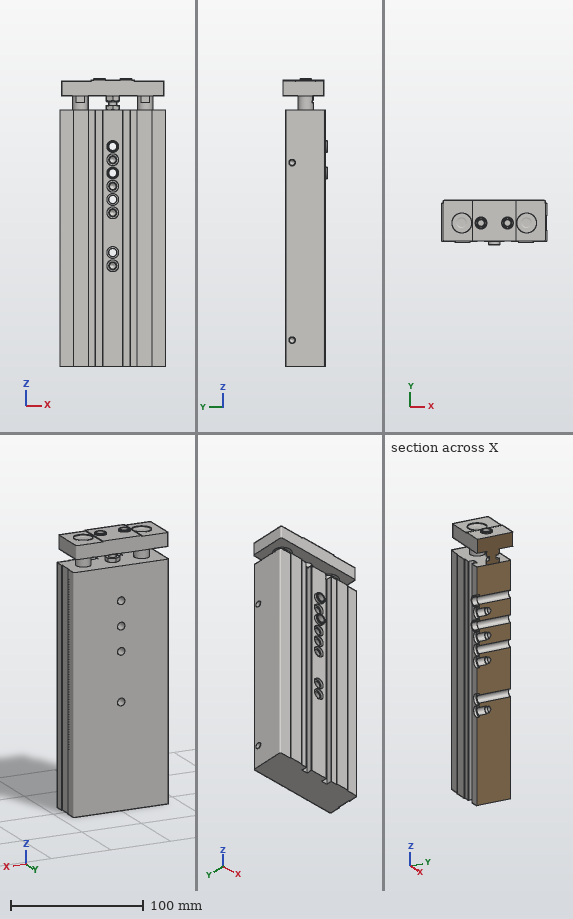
import cadquery as cq
import math


HOUSING_WIDTH = 80.0
HOUSING_FRONT = -14.2
HOUSING_REAR = 15.2
HOUSING_HEIGHT = 194.0
HOUSING_CORNER_RADIUS = 1.0

PAD_OFFSET = 24.0
PAD_WIDTH = 11.3
PAD_PROUD = 0.7

SLOT_INNER = 7.6
SLOT_OUTER = 12.9
SLOT_DEPTH = 4.8
SLOT_CHAMFER = 0.5

CHANNEL_WIDTH = 11.3
CHANNEL_DEPTH = 0.7

HOLE_PITCH = 10.0
TOP_HOLE_Z = 166.5
THROUGH_STEPS = (0, 2, 4, 8)
BLIND_STEPS = (1, 3, 5, 9)
SLEEVED_STEPS = (0, 2)
THROUGH_DIAMETER = 6.0
THREAD_DIAMETER = 6.0
THREAD_DEPTH = 6.5
TAP_DRILL_DIAMETER = 5.0
TAP_DRILL_DEPTH = 8.7
DRILL_HALF_ANGLE = 59.0

PORT_THREAD_DIAMETER = 5.0
PORT_THREAD_DEPTH = 3.3
PORT_DRILL_DIAMETER = 4.1
PORT_DRILL_DEPTH = 5.5
PORT_Y = 10.2
PORT_HEIGHTS = (20.0, 154.2)

SLEEVE_DIAMETER = 9.0
SLEEVE_BORE = 6.3
SLEEVE_LENGTH = 4.5
SLEEVE_CHAMFER = 0.5
FRONT_SEAT_DEPTH = 2.2
PLATE_SLEEVE_PROUD = 1.3

PLATE_WIDTH = 77.3
PLATE_FRONT = -13.7
PLATE_REAR = 17.2
PLATE_BOTTOM = 204.7
PLATE_TOP = 215.8
PLATE_CORNER_RADIUS = 1.0
STRIP_WIDTH = 32.7
STRIP_TOP = 216.5
PLATE_HOLE_OFFSET = 10.0
PLATE_HOLE_DIAMETER = 5.0

ROD_SPACING = 49.0
ROD_DIAMETER = 12.0
ROD_HEAD_DIAMETER = 15.0
ROD_HEAD_SUNK = 0.7
FLAT_CUT = 0.9
FLAT_HEIGHT = 5.2
CENTRE_MOUTH_DIAMETER = 8.0
CENTRE_DIAMETER = 6.3
CENTRE_DEPTH = 0.2

STOP_DIAMETER = 6.0
NUT_FLATS = 10.0
NUT_SEAT_DIAMETER = 10.5
NUT_FREE_END_DIAMETER = 9.0
STOP_NUT_HEIGHT = 4.5
STOP_HEAD_HEIGHT = 3.3

PLATE_SEAT_DEPTH = SLEEVE_LENGTH - PLATE_SLEEVE_PROUD
ROD_OFFSET = ROD_SPACING / 2
HOUSING_MID_Y = (HOUSING_FRONT + HOUSING_REAR) / 2
PLATE_MID_Y = (PLATE_FRONT + PLATE_REAR) / 2
ROD_GAP = PLATE_BOTTOM - HOUSING_HEIGHT
OUTWARD = cq.Vector(0, -1, 0)


def hole_z(step):
    return TOP_HOLE_Z - step * HOLE_PITCH


def tapped_hole(origin, direction, thread_diameter, thread_depth, drill_diameter, drill_depth):
    """Blind tapped hole: a thread bore, then a narrower drilled bore with a conical tip."""
    drill_radius = drill_diameter / 2
    tip = drill_radius / math.tan(math.radians(DRILL_HALF_ANGLE))
    thread = cq.Solid.makeCylinder(thread_diameter / 2, thread_depth, origin, direction)
    bore = cq.Solid.makeCylinder(drill_radius, drill_depth, origin, direction)
    cone = cq.Solid.makeCone(drill_radius, 0, tip, origin + direction * drill_depth, direction)
    return thread.fuse(bore, cone)


def slot_outline(side):
    """Sensor slot profile, bevelled along both edges of its mouth."""
    floor_y = HOUSING_FRONT + SLOT_DEPTH
    points = [
        (SLOT_OUTER + SLOT_CHAMFER, HOUSING_FRONT),
        (SLOT_OUTER, HOUSING_FRONT + SLOT_CHAMFER),
        (SLOT_OUTER, floor_y),
        (SLOT_INNER, floor_y),
        (SLOT_INNER, HOUSING_FRONT + SLOT_CHAMFER),
        (SLOT_INNER - SLOT_CHAMFER, HOUSING_FRONT),
    ]
    return [(side * x, y) for x, y in points]


def make_profile():
    depth = HOUSING_REAR - HOUSING_FRONT
    body = (
        cq.Workplane("XY")
        .center(0, HOUSING_MID_Y)
        .rect(HOUSING_WIDTH, depth)
        .extrude(HOUSING_HEIGHT)
        .edges("|Z")
        .fillet(HOUSING_CORNER_RADIUS)
    )
    for side in (-1, 1):
        pad = (
            cq.Workplane("XY")
            .center(side * PAD_OFFSET, HOUSING_FRONT)
            .rect(PAD_WIDTH, 2 * PAD_PROUD)
            .extrude(HOUSING_HEIGHT)
        )
        slot = cq.Workplane("XY").polyline(slot_outline(side)).close().extrude(HOUSING_HEIGHT)
        body = body.union(pad).cut(slot)
    channel = (
        cq.Workplane("XY")
        .center(HOUSING_WIDTH / 2, 0)
        .rect(2 * CHANNEL_DEPTH, CHANNEL_WIDTH)
        .extrude(HOUSING_HEIGHT)
    )
    return body.cut(channel)


def cut_mounting_holes(body):
    inward = OUTWARD * -1
    for step in THROUGH_STEPS + BLIND_STEPS:
        mouth = cq.Vector(0, HOUSING_FRONT, hole_z(step))
        seat_floor = mouth + inward * FRONT_SEAT_DEPTH
        body = body.cut(cq.Solid.makeCylinder(SLEEVE_DIAMETER / 2, FRONT_SEAT_DEPTH, mouth, inward))
        if step in THROUGH_STEPS:
            through = HOUSING_REAR - HOUSING_FRONT
            body = body.cut(cq.Solid.makeCylinder(THROUGH_DIAMETER / 2, through, mouth, inward))
        else:
            hole = tapped_hole(
                seat_floor, inward, THREAD_DIAMETER, THREAD_DEPTH, TAP_DRILL_DIAMETER, TAP_DRILL_DEPTH
            )
            body = body.cut(hole)
    return body


def cut_ports(body):
    inward = cq.Vector(1, 0, 0)
    for height in PORT_HEIGHTS:
        mouth = cq.Vector(-HOUSING_WIDTH / 2, PORT_Y, height)
        port = tapped_hole(
            mouth, inward, PORT_THREAD_DIAMETER, PORT_THREAD_DEPTH, PORT_DRILL_DIAMETER, PORT_DRILL_DEPTH
        )
        body = body.cut(port)
    return body


def make_housing():
    return cut_ports(cut_mounting_holes(make_profile()))


def end_cone(z, direction, face_diameter):
    """45 degree cone that turns down the corners of a hexagon whose end face lies at z."""
    return cq.Workplane(
        cq.Solid.makeCone(
            face_diameter / 2,
            face_diameter / 2 + ROD_GAP,
            ROD_GAP,
            cq.Vector(0, 0, z),
            cq.Vector(0, 0, direction),
        )
    )


def make_hexagon(bottom, height):
    """Hexagon around the Z axis with one corner to the front."""
    corner_diameter = NUT_FLATS / math.cos(math.radians(30))
    return (
        cq.Workplane("XY")
        .workplane(offset=bottom)
        .transformed(rotate=(0, 0, 90))
        .polygon(6, corner_diameter)
        .extrude(height)
    )


def make_stop_screw():
    nut_bottom = PLATE_BOTTOM - STOP_NUT_HEIGHT
    shank = cq.Workplane("XY").workplane(offset=HOUSING_HEIGHT).circle(STOP_DIAMETER / 2).extrude(ROD_GAP)
    head = make_hexagon(HOUSING_HEIGHT, STOP_HEAD_HEIGHT).intersect(
        end_cone(HOUSING_HEIGHT, 1, NUT_SEAT_DIAMETER)
    )
    nut = (
        make_hexagon(nut_bottom, STOP_NUT_HEIGHT)
        .intersect(end_cone(PLATE_BOTTOM, -1, NUT_SEAT_DIAMETER))
        .intersect(end_cone(nut_bottom, 1, NUT_FREE_END_DIAMETER))
    )
    return shank.union(head).union(nut)


def make_plate():
    """Plate with its raised strip and the stop screw fixed below it."""
    depth = PLATE_REAR - PLATE_FRONT
    slab = (
        cq.Workplane("XY")
        .workplane(offset=PLATE_BOTTOM)
        .center(0, PLATE_MID_Y)
        .rect(PLATE_WIDTH, depth)
        .extrude(PLATE_TOP - PLATE_BOTTOM)
        .edges("|Z")
        .fillet(PLATE_CORNER_RADIUS)
    )
    strip = (
        cq.Workplane("XY")
        .workplane(offset=PLATE_BOTTOM)
        .center(0, PLATE_MID_Y)
        .rect(STRIP_WIDTH, depth)
        .extrude(STRIP_TOP - PLATE_BOTTOM)
    )
    plate = slab.union(strip)
    down = cq.Vector(0, 0, -1)
    for side in (-1, 1):
        mouth = cq.Vector(side * PLATE_HOLE_OFFSET, 0, STRIP_TOP)
        through = STRIP_TOP - PLATE_BOTTOM
        plate = plate.cut(cq.Solid.makeCylinder(PLATE_HOLE_DIAMETER / 2, through, mouth, down))
        plate = plate.cut(cq.Solid.makeCylinder(SLEEVE_DIAMETER / 2, PLATE_SEAT_DEPTH, mouth, down))
        rod_top = cq.Vector(side * ROD_OFFSET, 0, STRIP_TOP)
        plate = plate.cut(cq.Solid.makeCylinder(ROD_HEAD_DIAMETER / 2, through, rod_top, down))
    return plate.union(make_stop_screw())


def make_rod(x):
    """Rod with a wrench flat, and a wider head in the plate with a dished centre."""
    head_top = PLATE_TOP - ROD_HEAD_SUNK
    rod = (
        cq.Workplane("XY")
        .workplane(offset=HOUSING_HEIGHT)
        .center(x, 0)
        .circle(ROD_DIAMETER / 2)
        .extrude(ROD_GAP)
    )
    flat = cq.Workplane("XY").box(ROD_DIAMETER, 2 * FLAT_CUT, FLAT_HEIGHT).translate(
        (x, -ROD_DIAMETER / 2, PLATE_BOTTOM - FLAT_HEIGHT / 2)
    )
    head = (
        cq.Workplane("XY")
        .workplane(offset=PLATE_BOTTOM)
        .center(x, 0)
        .circle(ROD_HEAD_DIAMETER / 2)
        .extrude(head_top - PLATE_BOTTOM)
    )
    top = cq.Vector(x, 0, head_top)
    down = cq.Vector(0, 0, -1)
    centre = cq.Solid.makeCone(CENTRE_MOUTH_DIAMETER / 2, CENTRE_DIAMETER / 2, CENTRE_DEPTH, top, down)
    return rod.cut(flat).union(head).cut(centre)


def make_sleeve(origin, direction):
    """Tube standing on a seat, its free end chamfered around the outside."""
    radius = SLEEVE_DIAMETER / 2
    straight = SLEEVE_LENGTH - SLEEVE_CHAMFER
    tube = cq.Solid.makeCylinder(radius, straight, origin, direction)
    lead_in = cq.Solid.makeCone(
        radius, radius - SLEEVE_CHAMFER, SLEEVE_CHAMFER, origin + direction * straight, direction
    )
    bore = cq.Solid.makeCylinder(SLEEVE_BORE / 2, SLEEVE_LENGTH, origin, direction)
    return tube.fuse(lead_in).cut(bore)


housing = make_housing()
plate = make_plate()
rods = [make_rod(side * ROD_OFFSET) for side in (-1, 1)]
front_sleeves = [
    make_sleeve(cq.Vector(0, HOUSING_FRONT + FRONT_SEAT_DEPTH, hole_z(step)), OUTWARD)
    for step in SLEEVED_STEPS
]
plate_sleeves = [
    make_sleeve(
        cq.Vector(side * PLATE_HOLE_OFFSET, 0, STRIP_TOP - PLATE_SEAT_DEPTH), cq.Vector(0, 0, 1)
    )
    for side in (-1, 1)
]
result = cq.Compound.makeCompound(
    [housing.val(), plate.val(), *[rod.val() for rod in rods], *front_sleeves, *plate_sleeves]
)